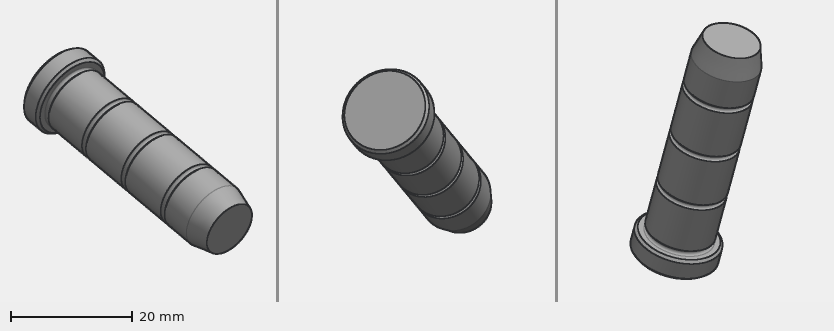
import cadquery as cq
import math

total_length = 44.0
head_diameter = 15.0
head_length = 4.0
head_chamfer = 0.5
shank_diameter = 12.0

groove_radius = 0.5
groove_count = 3
groove_pitch = 10.0

taper_length = 4.0
taper_angle = 15.0

shank_radius = shank_diameter / 2
head_radius = head_diameter / 2
tip_radius = shank_radius - taper_length * math.tan(math.radians(taper_angle))
taper_start = total_length - taper_length


def make_pin():
    """Revolve the chamfered head, shank and tapered tip about the X axis."""
    half_profile = (
        cq.Workplane("XZ")
        .moveTo(0, 0)
        .lineTo(0, head_radius - head_chamfer)
        .lineTo(head_chamfer, head_radius)
        .lineTo(head_length - head_chamfer, head_radius)
        .lineTo(head_length, head_radius - head_chamfer)
        .lineTo(head_length, shank_radius)
        .lineTo(taper_start, shank_radius)
        .lineTo(total_length, tip_radius)
        .lineTo(total_length, 0)
        .close()
    )
    return half_profile.revolve(360, (0, 0, 0), (1, 0, 0))


def make_groove_cutter(center_x):
    """Ring whose half-round section cuts inward from the shank surface."""
    section = (
        cq.Workplane("XZ")
        .moveTo(center_x - groove_radius, shank_radius)
        .threePointArc(
            (center_x, shank_radius - groove_radius),
            (center_x + groove_radius, shank_radius),
        )
        .close()
    )
    return section.revolve(360, (0, 0, 0), (1, 0, 0))


undercut_center = head_length + groove_radius
groove_centers = [head_length + groove_pitch * (index + 1) for index in range(groove_count)]

result = make_pin()
for groove_center in [undercut_center] + groove_centers:
    result = result.cut(make_groove_cutter(groove_center))